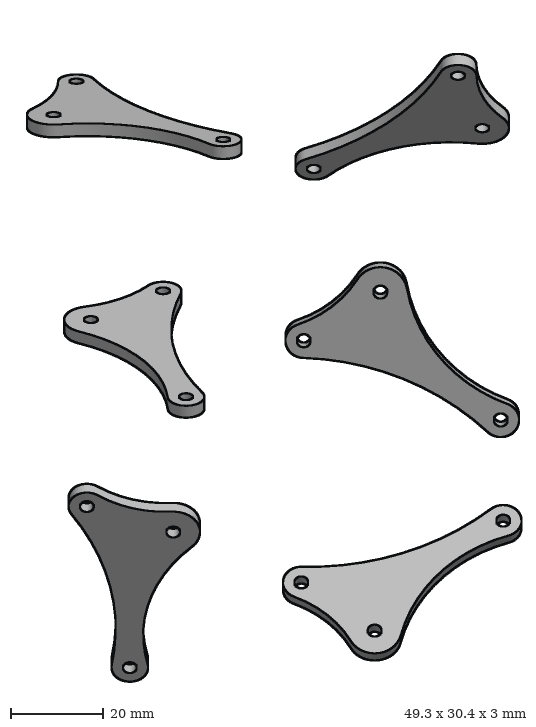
import cadquery as cq
import math

thickness = 3.0
hole_diameter = 3.0
corner_radius = 5.8
end_radius = 4.0

length = 49.25
width = 30.4
tip_drop = 2.35
top_offset = 1.35

corner_center = (0.0, 0.0)
tip_center = (length - corner_radius - end_radius, -tip_drop)
top_center = (-top_offset, width - 2 * end_radius - tip_drop)

lower_edge_radius = 35.0
upper_edge_radius = 60.0
left_edge_radius = 25.0


def concave_edge(start, start_radius, end, last_radius, edge_radius):
    """Start, middle and end of the arc tangent to two lobes."""
    dx = end[0] - start[0]
    dy = end[1] - start[1]
    span = math.hypot(dx, dy)
    start_reach = edge_radius + start_radius
    end_reach = edge_radius + last_radius
    along = (span**2 + start_reach**2 - end_reach**2) / (2 * span)
    aside = math.sqrt(start_reach**2 - along**2)
    center = (
        start[0] + (along * dx + aside * dy) / span,
        start[1] + (along * dy - aside * dx) / span,
    )

    def point_towards(target):
        reach = math.dist(center, target)
        return tuple(c + (t - c) * edge_radius / reach for c, t in zip(center, target))

    first = point_towards(start)
    last = point_towards(end)
    chord_middle = tuple((a + b) / 2 for a, b in zip(first, last))
    return first, point_towards(chord_middle), last


def outermost(center, radius):
    """Point of a lobe facing directly away from the plate's middle."""
    lobes = (corner_center, tip_center, top_center)
    middle = tuple(sum(values) / len(lobes) for values in zip(*lobes))
    reach = math.dist(center, middle)
    return tuple(c + (c - m) * radius / reach for c, m in zip(center, middle))


lower = concave_edge(corner_center, corner_radius, tip_center, end_radius, lower_edge_radius)
upper = concave_edge(tip_center, end_radius, top_center, end_radius, upper_edge_radius)
left = concave_edge(top_center, end_radius, corner_center, corner_radius, left_edge_radius)

plate = (
    cq.Workplane("XY")
    .moveTo(*lower[0])
    .threePointArc(lower[1], lower[2])
    .threePointArc(outermost(tip_center, end_radius), upper[0])
    .threePointArc(upper[1], upper[2])
    .threePointArc(outermost(top_center, end_radius), left[0])
    .threePointArc(left[1], left[2])
    .threePointArc(outermost(corner_center, corner_radius), lower[0])
    .close()
    .extrude(thickness)
)

holes = (
    cq.Workplane("XY")
    .pushPoints([corner_center, tip_center, top_center])
    .circle(hole_diameter / 2)
    .extrude(thickness)
)

result = plate.cut(holes)